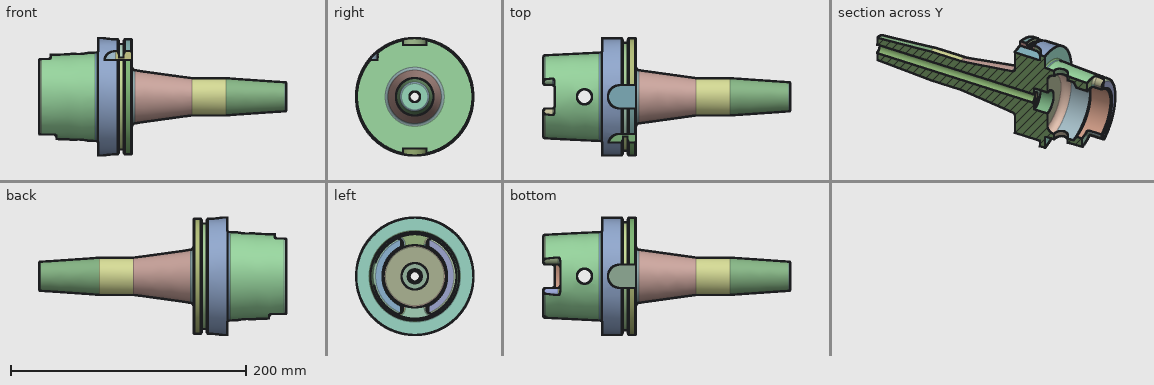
import cadquery as cq
import math

LENGTH = 210.0

TAPER_END_X = 47.5
TAPER_BIG_R = 75.4 / 2
TAPER_SLOPE = 1 / 20
MOUTH_ROUND = 2.0
NECK_FILLET = 1.3

FLANGE_X = 50.0
FLANGE_END_X = 79.0
FLANGE_R = 100.0 / 2
FLANGE_CHAMFER = 0.8
GROOVE_MID_X = 69.7
GROOVE_FLOOR_WIDTH = 3.5
GROOVE_FLOOR_R = 46.0
GROOVE_WALL_R = 47.7
GROOVE_SIDE_ANGLE = 30.0

NOSE_ROOT_R = 22.7
NOSE_FILLET = 2.5
NOSE_NECK_X = 130.0
NOSE_NECK_END_X = 159.0
NOSE_NECK_R = 32.0 / 2
TIP_R = 25.0 / 2
TIP_ROUND = 1.3

MOUTH_CHAMFER_R = 27.5
LIP_R = 53.0 / 2
LIP_CHAMFER = MOUTH_CHAMFER_R - LIP_R
LIP_LENGTH = 20.0
UNDERCUT_R = 63.0 / 2
UNDERCUT_ANGLE = 30.0
BORE_FLOOR_X = 47.5
BORE_FLOOR_R = 25.0
BORE_FLOOR_FILLET = UNDERCUT_R - BORE_FLOOR_R

SOCKET_R = 22.5 / 2
SOCKET_DEPTH = 12.5
PASSAGE_R = 8.8 / 2
PASSAGE_MOUTH_R = 12.0 / 2

DRIVE_HALF_WIDTH = 9.9
DRIVE_DEPTH_TOP = 9.7
DRIVE_DEPTH_BOTTOM = 14.5
DRIVE_SHOULDER_Z = 32.1
DRIVE_SHOULDER_ROUND = 5.0
DRIVE_FLOOR_FILLET = 1.9
DRIVE_MOUTH_WIDENING = 1.9
DRIVE_MOUTH_CHAMFER_LENGTH = 1.0

CROSS_HOLE_X = 35.0
CROSS_HOLE_D = 12.5

KEY_RADIUS = 9.9
KEY_TIP_X = 55.0
KEY_FLOOR_Z = 44.0
NOTCH_WALL_Y = -31.5
NOTCH_FLOOR_Z = 31.3

CLEARANCE = 10.5


def arc_inset(radius):
    """Distance of a quarter arc's midpoint from each of its two tangent lines."""
    return radius * (1 - math.sqrt(0.5))


def revolve_about_x(profile):
    return profile.close().revolve(360, (0, 0, 0), (1, 0, 0))


def outer_body():
    taper_mouth_r = TAPER_BIG_R - TAPER_SLOPE * (TAPER_END_X - MOUTH_ROUND)
    round_mid = arc_inset(MOUTH_ROUND)
    neck_mid = arc_inset(NECK_FILLET)
    nose_mid = arc_inset(NOSE_FILLET)
    tip_mid = arc_inset(TIP_ROUND)
    groove_flare = (FLANGE_R - GROOVE_WALL_R) * math.tan(math.radians(GROOVE_SIDE_ANGLE))
    groove_left = GROOVE_MID_X - GROOVE_FLOOR_WIDTH / 2
    groove_right = GROOVE_MID_X + GROOVE_FLOOR_WIDTH / 2
    profile = (
        cq.Workplane("XY")
        .lineTo(0, taper_mouth_r - MOUTH_ROUND)
        .threePointArc((round_mid, taper_mouth_r - round_mid), (MOUTH_ROUND, taper_mouth_r))
        .lineTo(TAPER_END_X, TAPER_BIG_R)
        .lineTo(FLANGE_X - NECK_FILLET, TAPER_BIG_R)
        .threePointArc((FLANGE_X - neck_mid, TAPER_BIG_R + neck_mid), (FLANGE_X, TAPER_BIG_R + NECK_FILLET))
        .lineTo(FLANGE_X, FLANGE_R)
        .lineTo(groove_left - groove_flare, FLANGE_R)
        .lineTo(groove_left, GROOVE_WALL_R)
        .lineTo(groove_left, GROOVE_FLOOR_R)
        .lineTo(groove_right, GROOVE_FLOOR_R)
        .lineTo(groove_right, GROOVE_WALL_R)
        .lineTo(groove_right + groove_flare, FLANGE_R)
        .lineTo(FLANGE_END_X - FLANGE_CHAMFER, FLANGE_R)
        .lineTo(FLANGE_END_X, FLANGE_R - FLANGE_CHAMFER)
        .lineTo(FLANGE_END_X, NOSE_ROOT_R + NOSE_FILLET)
        .threePointArc(
            (FLANGE_END_X + nose_mid, NOSE_ROOT_R + nose_mid),
            (FLANGE_END_X + NOSE_FILLET, NOSE_ROOT_R),
        )
        .lineTo(NOSE_NECK_X, NOSE_NECK_R)
        .lineTo(NOSE_NECK_END_X, NOSE_NECK_R)
        .lineTo(LENGTH - TIP_ROUND, TIP_R)
        .threePointArc((LENGTH - tip_mid, TIP_R - tip_mid), (LENGTH, TIP_R - TIP_ROUND))
        .lineTo(LENGTH, 0)
    )
    return revolve_about_x(profile)


def clamping_bore():
    shoulder_length = (UNDERCUT_R - LIP_R) * math.tan(math.radians(UNDERCUT_ANGLE))
    socket_end_x = BORE_FLOOR_X + SOCKET_DEPTH
    floor_mid = arc_inset(BORE_FLOOR_FILLET)
    passage_chamfer = PASSAGE_MOUTH_R - PASSAGE_R
    profile = (
        cq.Workplane("XY")
        .lineTo(0, MOUTH_CHAMFER_R)
        .lineTo(LIP_CHAMFER, LIP_R)
        .lineTo(LIP_LENGTH, LIP_R)
        .lineTo(LIP_LENGTH + shoulder_length, UNDERCUT_R)
        .lineTo(BORE_FLOOR_X - BORE_FLOOR_FILLET, UNDERCUT_R)
        .threePointArc(
            (BORE_FLOOR_X - floor_mid, UNDERCUT_R - floor_mid),
            (BORE_FLOOR_X, BORE_FLOOR_R),
        )
        .lineTo(BORE_FLOOR_X, SOCKET_R)
        .lineTo(socket_end_x, SOCKET_R)
        .lineTo(socket_end_x, PASSAGE_MOUTH_R)
        .lineTo(socket_end_x + passage_chamfer, PASSAGE_R)
        .lineTo(LENGTH, PASSAGE_R)
        .lineTo(LENGTH, 0)
    )
    return revolve_about_x(profile)


def drive_slot(depth):
    """Slot at +Z: straight walls that round over into a flat shoulder on each side."""
    outer_z = FLANGE_R
    half_span = FLANGE_R
    round_mid = arc_inset(DRIVE_SHOULDER_ROUND)
    wall_y = DRIVE_HALF_WIDTH
    wall_top_z = DRIVE_SHOULDER_Z - DRIVE_SHOULDER_ROUND
    slot = (
        cq.Workplane("YZ")
        .moveTo(-wall_y, 0)
        .lineTo(wall_y, 0)
        .lineTo(wall_y, wall_top_z)
        .threePointArc(
            (wall_y + round_mid, DRIVE_SHOULDER_Z - round_mid),
            (wall_y + DRIVE_SHOULDER_ROUND, DRIVE_SHOULDER_Z),
        )
        .lineTo(half_span, DRIVE_SHOULDER_Z)
        .lineTo(half_span, outer_z)
        .lineTo(-half_span, outer_z)
        .lineTo(-half_span, DRIVE_SHOULDER_Z)
        .lineTo(-wall_y - DRIVE_SHOULDER_ROUND, DRIVE_SHOULDER_Z)
        .threePointArc(
            (-wall_y - round_mid, DRIVE_SHOULDER_Z - round_mid),
            (-wall_y, wall_top_z),
        )
        .close()
        .extrude(depth)
        .faces(">X")
        .edges()
        .fillet(DRIVE_FLOOR_FILLET)
    )
    mouth_y = wall_y + DRIVE_MOUTH_WIDENING
    mouth = (
        cq.Workplane("XY")
        .moveTo(0, -mouth_y)
        .lineTo(DRIVE_MOUTH_CHAMFER_LENGTH, -wall_y)
        .lineTo(DRIVE_MOUTH_CHAMFER_LENGTH, wall_y)
        .lineTo(0, mouth_y)
        .close()
        .extrude(outer_z)
    )
    return slot.union(mouth)


def round_ended_slot(center_y, floor_z):
    """Slot along X, open at the nose side of the flange, cut downwards to floor_z."""
    height = FLANGE_R + CLEARANCE - floor_z
    center_x = KEY_TIP_X + KEY_RADIUS
    run_length = FLANGE_END_X - center_x
    base = cq.Workplane("XY").workplane(offset=floor_z)
    end = base.center(center_x, center_y).circle(KEY_RADIUS).extrude(height)
    run = base.center(center_x + run_length / 2, center_y).rect(run_length, 2 * KEY_RADIUS).extrude(height)
    return end.union(run)


def half_turn(shape):
    return shape.rotate((0, 0, 0), (1, 0, 0), 180)


def cross_hole():
    return cq.Workplane("XY").center(CROSS_HOLE_X, 0).circle(CROSS_HOLE_D / 2).extrude(FLANGE_R, both=True)


key_slot = round_ended_slot(0, KEY_FLOOR_Z)
notch = round_ended_slot(NOTCH_WALL_Y - KEY_RADIUS, NOTCH_FLOOR_Z)

result = (
    outer_body()
    .cut(clamping_bore())
    .cut(drive_slot(DRIVE_DEPTH_TOP))
    .cut(half_turn(drive_slot(DRIVE_DEPTH_BOTTOM)))
    .cut(cross_hole())
    .cut(key_slot)
    .cut(half_turn(key_slot))
    .cut(notch)
)